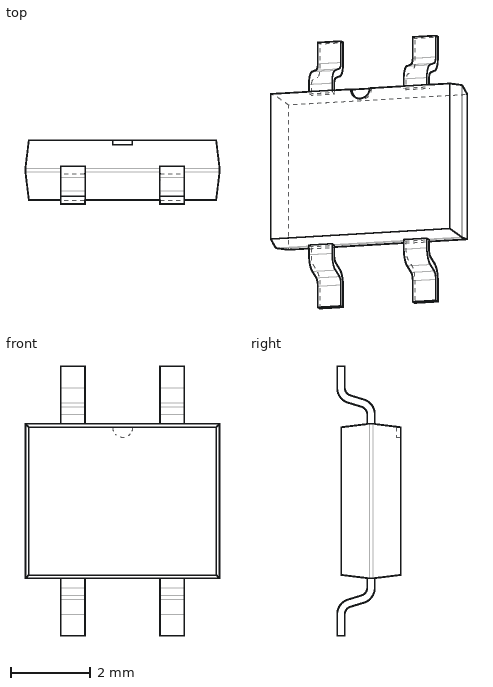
import cadquery as cq
import math

body_width = 4.9
body_height = 3.9
body_thickness = 1.51
band_thickness = 0.08
draft_angle = 7.0

notch_diameter = 0.5
notch_depth = 0.115

overall_height = 6.8
standoff = 0.1
lead_width = 0.61
lead_thickness = 0.2
lead_spacing = 2.5
foot_length = 0.545
bend_angle = 73.0
inner_bend_radius = 0.2
root_embed = 0.34

rear_y = body_thickness / 2
draft_length = (body_thickness - band_thickness) / 2
draft_inset = draft_length * math.tan(math.radians(draft_angle))


def make_body():
    """Central band with a drafted half on its front and rear."""
    band = cq.Workplane("XZ").rect(body_width, body_height)
    band = band.extrude(band_thickness / 2, both=True)
    front_plane = cq.Workplane("XZ", origin=(0, -band_thickness / 2, 0))
    front_half = front_plane.rect(body_width, body_height).extrude(draft_length, taper=draft_angle)
    return band.union(front_half).union(front_half.mirror("XZ"))


def make_notch():
    """Round cutter centred on the upper edge of the rear face."""
    edge_z = body_height / 2 - draft_inset
    plane = cq.Workplane("XZ", origin=(0, rear_y, edge_z))
    return plane.circle(notch_diameter / 2).extrude(notch_depth)


def make_upper_lead(center_x):
    """One upward lead: straight root, two opposite bends and a straight foot."""
    angle = math.radians(bend_angle)
    outer_bend_radius = inner_bend_radius + lead_thickness
    half_thickness = lead_thickness / 2

    root_y = 0.0
    foot_y = -(body_thickness / 2 + standoff - half_thickness)
    tip_z = overall_height / 2
    foot_bend_z = tip_z - foot_length

    bend_radius = inner_bend_radius + half_thickness
    step = root_y - foot_y
    slope_length = (step - 2 * bend_radius * (1 - math.cos(angle))) / math.sin(angle)
    rise = 2 * bend_radius * math.sin(angle) + slope_length * math.cos(angle)
    root_bend_z = foot_bend_z - rise
    root_z = body_height / 2 - root_embed

    root_center_y = root_y - bend_radius
    foot_center_y = foot_y + bend_radius

    def root_arc(radius, turn):
        return (root_center_y + radius * math.cos(turn), root_bend_z + radius * math.sin(turn))

    def foot_arc(radius, turn):
        return (foot_center_y - radius * math.cos(turn), foot_bend_z - radius * math.sin(turn))

    profile = (
        cq.Workplane("YZ", origin=(center_x, 0, 0))
        .moveTo(root_y + half_thickness, root_z)
        .lineTo(*root_arc(outer_bend_radius, 0))
        .threePointArc(root_arc(outer_bend_radius, angle / 2), root_arc(outer_bend_radius, angle))
        .lineTo(*foot_arc(inner_bend_radius, angle))
        .threePointArc(foot_arc(inner_bend_radius, angle / 2), foot_arc(inner_bend_radius, 0))
        .lineTo(foot_y + half_thickness, tip_z)
        .lineTo(foot_y - half_thickness, tip_z)
        .lineTo(*foot_arc(outer_bend_radius, 0))
        .threePointArc(foot_arc(outer_bend_radius, angle / 2), foot_arc(outer_bend_radius, angle))
        .lineTo(*root_arc(inner_bend_radius, angle))
        .threePointArc(root_arc(inner_bend_radius, angle / 2), root_arc(inner_bend_radius, 0))
        .lineTo(root_y - half_thickness, root_z)
        .close()
    )
    return profile.extrude(lead_width / 2, both=True)


result = make_body().cut(make_notch())
for center_x in (-lead_spacing / 2, lead_spacing / 2):
    upper_lead = make_upper_lead(center_x)
    result = result.union(upper_lead).union(upper_lead.mirror("XY"))